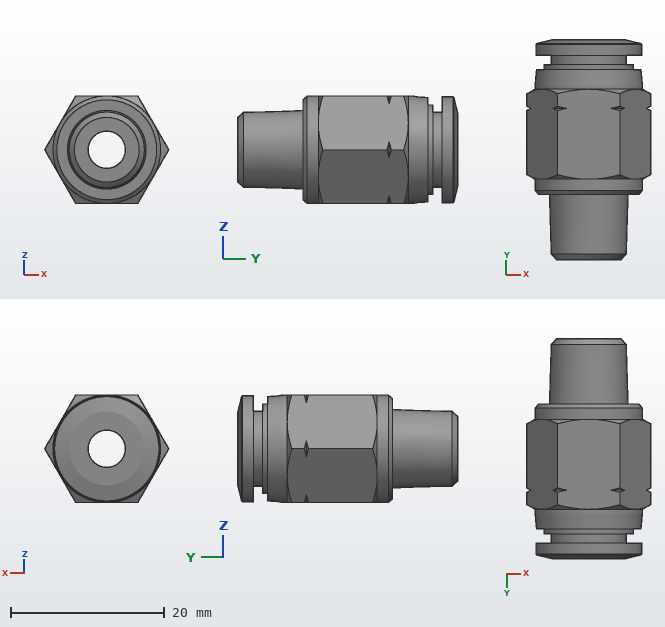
import cadquery as cq
import math

length = 28.65
across_flats = 14.0
across_corners = across_flats / math.cos(math.radians(30))
body_r = across_flats / 2

bore_r = 2.4

stem_tip_r = 4.2
stem_front_r = 4.9
stem_back_r = 5.13
stem_chamfer = 0.77

collar_y = 8.48
collar_face_r = 6.5
collar_chamfer = 0.55

hex_start = 10.5
hex_end = 22.2
hex_chamfer_depth = 0.6
groove_y = 19.7
groove_depth = 0.52
groove_half_width = 0.3

sleeve_y = 22.75
sleeve_end_y = 24.75
sleeve_end_r = 6.82
step_end_y = 25.4
step_r = 5.85
neck_r = 4.9

button_y = 26.62
button_rim_y = 28.05
button_rim_chamfer = 0.11
button_r = 6.9
button_face_r = 4.8


def revolve_profile(points):
    """Revolve a closed (radius, Y) outline about the Y axis."""
    return cq.Workplane("XY").polyline(points).close().revolve(360, (0, 0, 0), (0, 1, 0))


def turned_body():
    return revolve_profile([
        (0, 0),
        (stem_tip_r, 0),
        (stem_front_r, stem_chamfer),
        (stem_back_r, collar_y),
        (collar_face_r, collar_y),
        (body_r, collar_y + collar_chamfer),
        (body_r, sleeve_y),
        (sleeve_end_r, sleeve_end_y),
        (step_r, sleeve_end_y),
        (step_r, step_end_y),
        (neck_r, step_end_y),
        (neck_r, button_y),
        (button_r, button_y),
        (button_r, button_rim_y),
        (button_r - button_rim_chamfer, button_rim_y + button_rim_chamfer),
        (button_face_r, length),
        (0, length),
    ])


def hexagon():
    """Hexagon with corners on +X and -X, chamfered at both ends and grooved at its corners."""
    corner_r = across_corners / 2
    prism = (
        cq.Workplane("XZ", origin=(0, hex_end, 0))
        .polygon(6, across_corners)
        .extrude(hex_end - hex_start)
    )
    envelope = revolve_profile([
        (0, hex_start),
        (body_r, hex_start),
        (corner_r, hex_start + hex_chamfer_depth),
        (corner_r, groove_y - groove_half_width),
        (corner_r - groove_depth, groove_y),
        (corner_r, groove_y + groove_half_width),
        (corner_r, hex_end - hex_chamfer_depth),
        (body_r, hex_end),
        (0, hex_end),
    ])
    return prism.intersect(envelope)


bore = cq.Workplane("XZ", origin=(0, length, 0)).circle(bore_r).extrude(length)

result = turned_body().union(hexagon()).cut(bore)